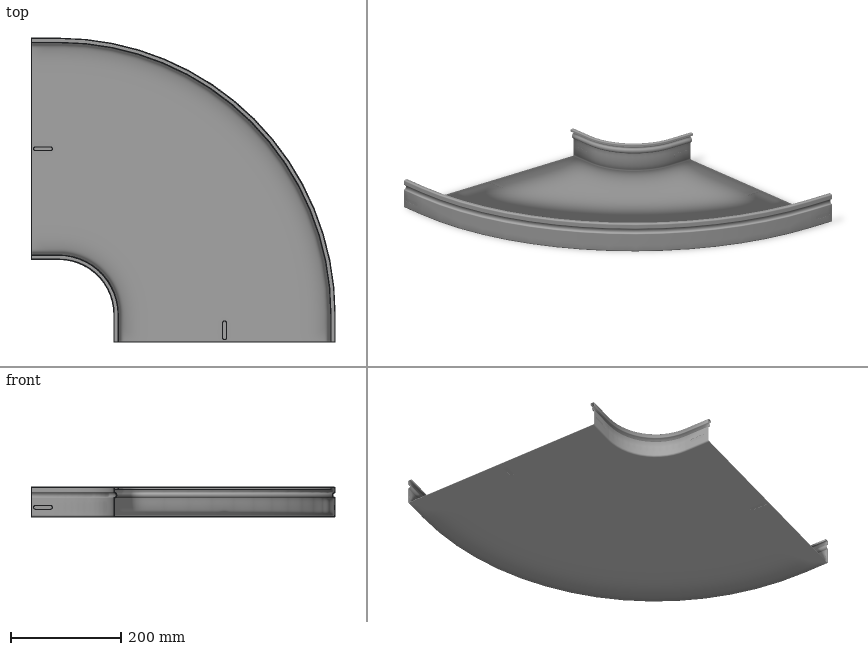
import cadquery as cq
import math

sheet = 0.75
overall = 551.9
height = 54.1
leg = 50.0
inner_radius = 100.0

inner_face = leg + inner_radius
middle = (inner_face + overall) / 2

floor_bend_radius = 3.0
top_bend_radius = 2.4
lip_bend_radius = 1.3
flange_width = 8.0
lip_bottom = 49.5
groove_height = 39.7
groove_radius = 4.5
groove_edge_radius = 1.5
groove_reach = math.sqrt((groove_radius + groove_edge_radius) ** 2 - groove_edge_radius ** 2)

emboss_length = 34.0
emboss_width = 7.0
emboss_step = 0.35
emboss_along = 21.2
emboss_height = 17.5


def polar(center, radius, degrees):
    """Point at an angle on a circle."""
    angle = math.radians(degrees)
    return (center[0] + radius * math.cos(angle), center[1] + radius * math.sin(angle))


def wall_edges(inset, place):
    """Edges of one wall section from the floor bend up to the lip.

    The section is laid out with the distance inward from the wall's outside
    face and the height. The inset is 0 for the outside of the sheet and one
    sheet thickness for its inside. The place function turns a section point
    into a point in space.
    """
    floor_bend = floor_bend_radius - inset
    top_bend = top_bend_radius - inset
    groove_edge = groove_edge_radius - inset
    lip_bend = lip_bend_radius - inset
    tilt = math.degrees(math.atan2(groove_reach, groove_edge_radius))

    def line(start, end):
        return cq.Edge.makeLine(place(*start), place(*end))

    def arc(center, radius, start, end):
        points = [polar(center, radius, angle) for angle in (start, (start + end) / 2, end)]
        return cq.Edge.makeThreePointArc(*[place(*point) for point in points])

    floor_center = (floor_bend_radius, floor_bend_radius)
    lower_center = (groove_edge_radius, groove_height - groove_reach)
    groove_center = (0, groove_height)
    upper_center = (groove_edge_radius, groove_height + groove_reach)
    top_center = (top_bend_radius, height - top_bend_radius)
    lip_center = (flange_width - lip_bend_radius, height - lip_bend_radius)

    return [
        arc(floor_center, floor_bend, 270, 180),
        line((inset, floor_center[1]), (inset, lower_center[1])),
        arc(lower_center, groove_edge, 180, 180 - tilt),
        arc(groove_center, groove_radius + inset, -tilt, tilt),
        arc(upper_center, groove_edge, 180 + tilt, 180),
        line((inset, upper_center[1]), (inset, top_center[1])),
        arc(top_center, top_bend, 180, 90),
        line((top_center[0], height - inset), (lip_center[0], height - inset)),
        arc(lip_center, lip_bend, 90, 0),
        line((flange_width - inset, lip_center[1]), (flange_width - inset, lip_bottom)),
    ]


def on_inner_wall(inward, z):
    """Point of the inner wall section on the end plane X = 0."""
    return cq.Vector(0, inner_face + inward, z)


def on_outer_wall(inward, z):
    """Point of the outer wall section on the end plane X = 0."""
    return cq.Vector(0, overall - inward, z)


def tray_section():
    """Channel section of the tray on the end plane X = 0."""
    edges = []
    for place in (on_inner_wall, on_outer_wall):
        edges += wall_edges(0, place)
        edges += wall_edges(sheet, place)
        lip_ends = [place(flange_width - inset, lip_bottom) for inset in (0, sheet)]
        edges.append(cq.Edge.makeLine(*lip_ends))
    for z in (0, sheet):
        floor_ends = [place(floor_bend_radius, z) for place in (on_inner_wall, on_outer_wall)]
        edges.append(cq.Edge.makeLine(*floor_ends))
    return cq.Face.makeFromWires(cq.Wire.combine(edges)[0])


def across_diagonal(body):
    """Mirror a body across the plane X = Y, onto the other end of the tray."""
    return body.mirror((1, -1, 0))


def tray():
    """The bent channel: two straight legs joined by a quarter turn."""
    section = tray_section()
    along_leg = cq.Vector(leg, 0, 0)
    straight = cq.Workplane(cq.Solid.extrudeLinear(section, along_leg))
    turn_axis = (cq.Vector(leg, leg, 0), cq.Vector(leg, leg, 1))
    turn = cq.Workplane(cq.Solid.revolve(section.translate(along_leg), -90, *turn_axis))
    return straight.union(turn).union(across_diagonal(straight))


def slot_pad(outside_point, inward, depth):
    """Slot-shaped pad lying along X, rising inward from the outside of the sheet."""
    plane = cq.Plane(origin=outside_point, xDir=(1, 0, 0), normal=inward)
    return cq.Workplane(plane).slot2D(emboss_length, emboss_width).extrude(depth)


def add_embossings(body):
    """Press one embossing into the floor and each wall, at both ends."""
    places = [
        ((emboss_along, inner_face, emboss_height), (0, 1, 0)),
        ((emboss_along, overall, emboss_height), (0, -1, 0)),
        ((emboss_along, middle, 0), (0, 0, 1)),
    ]
    for outside_point, inward in places:
        boss = slot_pad(outside_point, inward, sheet + emboss_step)
        dent = slot_pad(outside_point, inward, emboss_step)
        body = body.union(boss).union(across_diagonal(boss))
        body = body.cut(dent).cut(across_diagonal(dent))
    return body


result = add_embossings(tray())